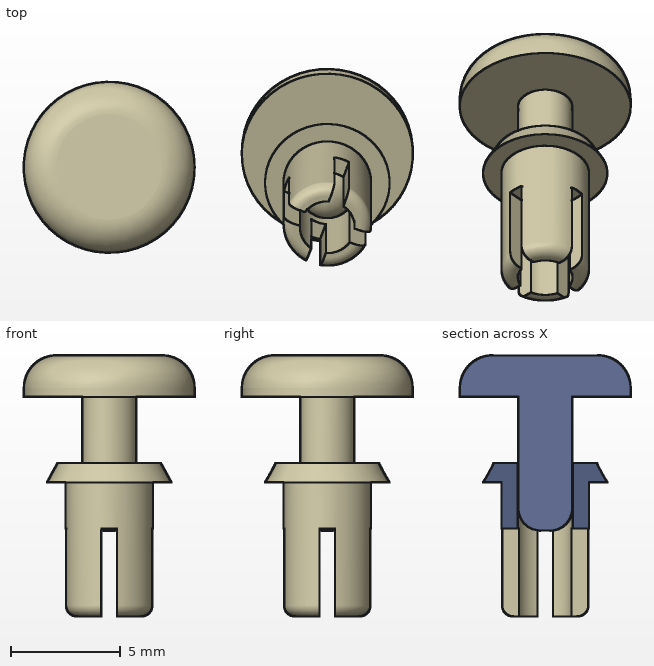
import cadquery as cq

TOTAL_HEIGHT = 11.9

HEAD_DIAMETER = 7.8
HEAD_HEIGHT = 1.9
HEAD_EDGE_RADIUS = 1.5
SHANK_DIAMETER = 2.48
SHANK_TIP_Z = 3.9
SHANK_TIP_RADIUS = 1.0
HEAD_BASE_Z = TOTAL_HEIGHT - HEAD_HEIGHT

BARREL_DIAMETER = 4.0
BARREL_TIP_RADIUS = 0.5
BORE_DIAMETER = 2.5
COLLAR_BASE_DIAMETER = 5.68
COLLAR_TOP_DIAMETER = 4.7
COLLAR_HEIGHT = 0.89
COLLAR_BASE_Z = 6.1
SLEEVE_TOP_Z = COLLAR_BASE_Z + COLLAR_HEIGHT
SLOT_WIDTH = 0.7
SLOT_HEIGHT = 4.0


def cylinder(diameter, bottom_z, top_z):
    """Solid cylinder on the Z axis between two heights."""
    return cq.Workplane("XY").workplane(offset=bottom_z).circle(diameter / 2).extrude(top_z - bottom_z)


def make_pin():
    """Mushroom head with a rounded top edge, on a shank with a rounded tip."""
    head = cylinder(HEAD_DIAMETER, HEAD_BASE_Z, TOTAL_HEIGHT).faces(">Z").edges().fillet(HEAD_EDGE_RADIUS)
    shank = cylinder(SHANK_DIAMETER, SHANK_TIP_Z, HEAD_BASE_Z).faces("<Z").edges().fillet(SHANK_TIP_RADIUS)
    return head.union(shank)


def make_collar():
    """Collar that narrows towards its top face."""
    return (
        cq.Workplane("XY")
        .workplane(offset=COLLAR_BASE_Z)
        .circle(COLLAR_BASE_DIAMETER / 2)
        .workplane(offset=COLLAR_HEIGHT)
        .circle(COLLAR_TOP_DIAMETER / 2)
        .loft(ruled=True)
    )


def make_slots():
    """Two crossed slots that split the lower barrel into four legs."""
    slot_length = BARREL_DIAMETER
    slot_along_x = cq.Workplane("XY").rect(slot_length, SLOT_WIDTH).extrude(SLOT_HEIGHT)
    slot_along_y = cq.Workplane("XY").rect(SLOT_WIDTH, slot_length).extrude(SLOT_HEIGHT)
    return slot_along_x.union(slot_along_y)


def make_sleeve():
    """Barrel and collar joined, bored right through and slotted from below."""
    barrel = cylinder(BARREL_DIAMETER, 0, SLEEVE_TOP_Z).faces("<Z").edges().fillet(BARREL_TIP_RADIUS)
    bore = cylinder(BORE_DIAMETER, 0, SLEEVE_TOP_Z)
    return barrel.union(make_collar()).cut(bore).cut(make_slots())


pin = make_pin()
sleeve = make_sleeve()

result = cq.Compound.makeCompound([pin.val(), sleeve.val()])